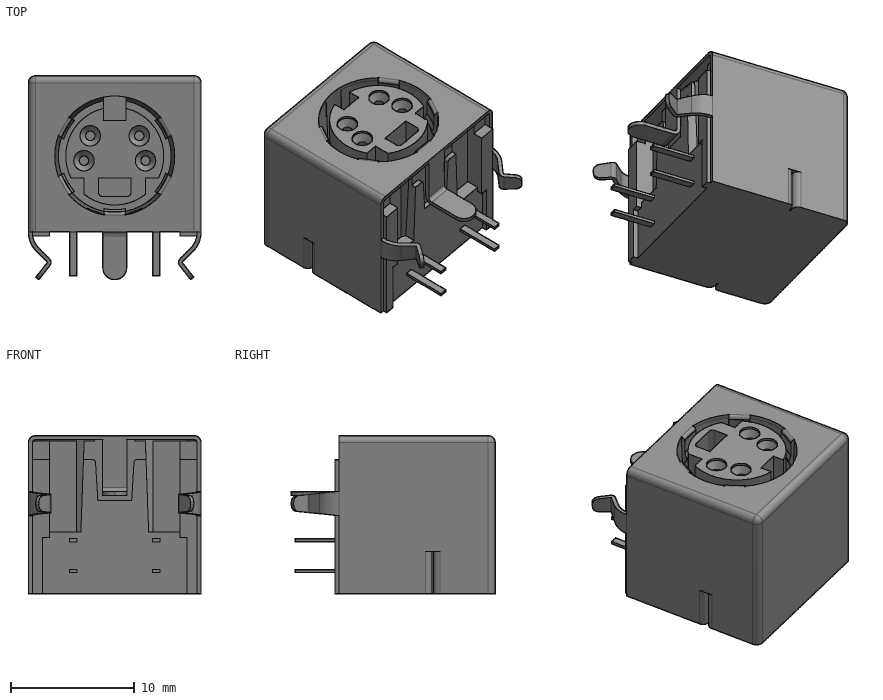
import cadquery as cq
import math


SHELL_W = 14.03
SHELL_D = 12.68
SHELL_H = 12.83
SHEET = 0.33
EDGE_R = 0.58
LEG_REACH = 16.56 - SHELL_D
INNER_X = SHELL_W / 2 - SHEET

TOP_GAP = 0.12
BODY_TOP = SHELL_H - SHEET - TOP_GAP
FRONT_Y = 0.1
RECESS_Y = 0.5
POCKET_Y = 1.16
STEP_Z = 10.88
PAD_OUT = 0.33
PAD_INNER_X = 5.28
PAD_FOOT_X = 5.86
PAD_FOOT_Z = 4.55
POCKET_FLOOR_Z = 5.02
BLOCK_TOP_X = 2.48
BLOCK_BOTTOM_X = 2.75
SLOT_FLOOR_Z = 7.58
SLOT_BOTTOM_X = 1.37
SLOT_TOP_X = 1.57
SLOT_EDGE_R = 0.25

SOCKET_Y = 6.16
OPENING_R = 4.87
BORE_FLOOR_R = 4.57
CORE_R = 3.97
BARREL_R = 5.9
SOCKET_DEPTH = 7.95
KEYWAY_W = 1.85
KEYWAY_DEPTH = 8.61
KEYWAY_INNER = 2.9
SHOULDER_X = 2.5
SHOULDER_Y = -1.79
KEY_HOLE_W = 2.62
KEY_HOLE_H = 1.5
KEY_HOLE_R = 0.33
PIN_HOLES = [(1.99, 1.64), (2.5, -0.38)]
PIN_HOLE_R = 0.38
PIN_MOUTH_R = 0.83
PIN_MOUTH_LIP = 0.2
PIN_CONE_DEPTH = 0.56

TAB_W = 1.72
TAB_ANGLES = [-150, -90, -30, 30, 150]
TAB_OUTER = 4.8
TAB_ROLL_INNER = 4.5
TAB_INNER = 4.55
TAB_BUMP = 4.35
TAB_BUMP_Z = 11.26
TAB_END_Z = 10.27

CONTACT_X = 3.36
CONTACT_W = 0.6
CONTACT_T = 0.25
CONTACT_TIP_Y = -3.56
CONTACT_ZS = [1.84, 4.34]
TONGUE_W = 1.95
TONGUE_Z = 7.97
TONGUE_TIP_FLAT = 0.002
ARM_Z = 7.32
ARM_ROOT_W = 1.99
ARM_TIP_W = 1.2
ARM_BEND_R = 2.05
ARM_RUN = 1.2
ARM_ANGLE = 45.0
ARM_ELBOW_R = 0.25
ARM_ELBOW_TURN = 83.0
ARM_TIP_R = 0.56
SEAM_Y = 7.6
SEAM_R = 0.53
SEAM_GAP = 0.1
SEAM_H = 3.41
SEAM_DEPTH = 0.83


def box(x0, x1, y0, y1, z0, z1):
    return cq.Workplane("XY").box(x1 - x0, y1 - y0, z1 - z0, centered=False).translate((x0, y0, z0))


def both_sides(shape):
    return shape.union(shape.mirror("YZ"))


def socket_plane(z):
    return cq.Workplane("XY", origin=(0, SOCKET_Y, z))


def make_shell():
    outer = box(-SHELL_W / 2, SHELL_W / 2, 0, SHELL_D, 0, SHELL_H)
    outer = outer.edges("(|Z and >Y) or (>Z and (not <Y))").fillet(EDGE_R)
    inner = box(-INNER_X, INNER_X, 0, SHELL_D - SHEET, 0, SHELL_H - SHEET)
    inner = inner.edges("(|Z and >Y) or (>Z and (not <Y))").fillet(EDGE_R - SHEET)
    return outer.cut(inner).cut(socket_plane(0).circle(OPENING_R).extrude(SHELL_H))


def center_block():
    """Middle of the insulator front, widening toward the pocket floor."""
    half = [(0, POCKET_FLOOR_Z), (BLOCK_BOTTOM_X, POCKET_FLOOR_Z), (BLOCK_TOP_X, BODY_TOP), (0, BODY_TOP)]
    block = cq.Workplane("XZ").polyline(half).close().extrude(-POCKET_Y)
    return both_sides(block)


def tongue_slot():
    """Tapered opening in the front face behind the ground tongue."""
    outline = [
        (-SLOT_BOTTOM_X, SLOT_FLOOR_Z),
        (SLOT_BOTTOM_X, SLOT_FLOOR_Z),
        (SLOT_TOP_X, STEP_Z),
        (-SLOT_TOP_X, STEP_Z),
    ]
    return cq.Workplane("XZ").polyline(outline).close().extrude(-RECESS_Y)


def make_insulator():
    body = box(-INNER_X, INNER_X, FRONT_Y, SHELL_D - SHEET, 0, BODY_TOP)
    body = body.cut(box(-INNER_X, INNER_X, 0, RECESS_Y, STEP_Z, BODY_TOP))
    body = body.cut(tongue_slot())
    body = body.edges(
        cq.selectors.BoxSelector((-SLOT_TOP_X - 0.17, 0, STEP_Z - 0.17), (SLOT_TOP_X + 0.17, RECESS_Y, STEP_Z + 0.17))
    ).edges("|Y").fillet(SLOT_EDGE_R)

    pocket = box(-PAD_INNER_X, PAD_INNER_X, 0, POCKET_Y, POCKET_FLOOR_Z, BODY_TOP)
    pocket = pocket.cut(socket_plane(0).circle(BARREL_R).extrude(SHELL_H)).cut(center_block())
    body = body.cut(pocket)

    barrel = socket_plane(BODY_TOP).circle(BARREL_R).extrude(TOP_GAP)
    body = body.union(barrel.intersect(box(-INNER_X, INNER_X, RECESS_Y, SHELL_D, 0, SHELL_H)))

    pad = box(PAD_INNER_X, INNER_X, -PAD_OUT, RECESS_Y, PAD_FOOT_Z, STEP_Z)
    foot = box(PAD_FOOT_X, INNER_X, -PAD_OUT, RECESS_Y, 0, PAD_FOOT_Z)
    return body.union(both_sides(pad.union(foot)))


def make_bore():
    """Space around the core, narrowing slightly toward its floor."""
    floor_z = SHELL_H - SOCKET_DEPTH
    top_z = SHELL_H - SHEET
    outline = [(0, floor_z), (BORE_FLOOR_R, floor_z), (OPENING_R, top_z), (0, top_z)]
    cone = cq.Workplane("XZ").polyline(outline).close().revolve(360, (0, 0), (0, 1))
    return cone.translate((0, SOCKET_Y, 0))


def make_core():
    floor_z = SHELL_H - SOCKET_DEPTH
    core = socket_plane(floor_z).circle(CORE_R).extrude(SOCKET_DEPTH)
    shoulder = box(
        SHOULDER_X, CORE_R, SOCKET_Y - CORE_R, SOCKET_Y + SHOULDER_Y, floor_z, SHELL_H
    )
    key_hole = socket_plane(floor_z).center(0, SHOULDER_Y - KEY_HOLE_H / 2)
    key_hole = key_hole.rect(KEY_HOLE_W, KEY_HOLE_H).extrude(SOCKET_DEPTH)
    key_hole = key_hole.edges("|Z and <Y").fillet(KEY_HOLE_R)
    core = core.cut(both_sides(shoulder)).cut(key_hole)
    for x, y in PIN_HOLES:
        core = core.cut(both_sides(pin_hole().translate((x, SOCKET_Y + y, 0))))
    return core


def pin_hole():
    lip_z = SHELL_H - PIN_MOUTH_LIP
    throat_z = lip_z - PIN_CONE_DEPTH
    floor_z = SHELL_H - SOCKET_DEPTH
    outline = [
        (0, floor_z),
        (PIN_HOLE_R, floor_z),
        (PIN_HOLE_R, throat_z),
        (PIN_MOUTH_R, lip_z),
        (PIN_MOUTH_R, SHELL_H),
        (0, SHELL_H),
    ]
    return cq.Workplane("XZ").polyline(outline).close().revolve(360, (0, 0), (0, 1))


def make_keyway():
    """Slot for the plug key, reaching from the core to the wall of the opening."""
    floor_z = SHELL_H - KEYWAY_DEPTH
    slot = box(
        -KEYWAY_W / 2, KEYWAY_W / 2, SOCKET_Y + KEYWAY_INNER, SOCKET_Y + OPENING_R, floor_z, SHELL_H
    )
    return slot.intersect(socket_plane(0).circle(OPENING_R).extrude(SHELL_H))


def spring_tab(angle):
    """Strip rolled over the opening edge, hanging down the bore to a contact bump."""
    roll_r = TAB_OUTER - TAB_ROLL_INNER
    back = OPENING_R + SHEET / 2
    roll_z = SHELL_H - roll_r
    roll = (
        cq.Workplane("XZ")
        .moveTo(back, SHELL_H)
        .lineTo(TAB_OUTER, SHELL_H)
        .radiusArc((TAB_ROLL_INNER, roll_z), -roll_r)
        .lineTo(back, roll_z)
        .close()
        .extrude(TAB_W / 2, both=True)
    )
    wall_outline = [
        (back, roll_z),
        (TAB_INNER, roll_z),
        (TAB_INNER, TAB_BUMP_Z),
        (TAB_BUMP, (TAB_BUMP_Z + TAB_END_Z) / 2),
        (TAB_INNER, TAB_END_Z),
        (back, TAB_END_Z),
    ]
    wall = cq.Workplane("XZ").polyline(wall_outline).close().revolve(360, (0, 0), (0, 1))
    wall = wall.intersect(box(0, back, -TAB_W / 2, TAB_W / 2, 0, SHELL_H))
    tab = roll.union(wall)
    return tab.rotate((0, 0, 0), (0, 0, 1), angle).translate((0, SOCKET_Y, 0))


def make_contacts():
    contacts = cq.Workplane("XY")
    for z in CONTACT_ZS:
        for x in (-CONTACT_X, CONTACT_X):
            contacts = contacts.union(
                box(
                    x - CONTACT_W / 2,
                    x + CONTACT_W / 2,
                    CONTACT_TIP_Y,
                    FRONT_Y + SHEET,
                    z - CONTACT_T / 2,
                    z + CONTACT_T / 2,
                )
            )
    return contacts


def make_tongue():
    """Strip hanging from the shell top and bent forward into a round-ended tongue."""
    strip = (
        cq.Workplane("YZ")
        .moveTo(0, SHELL_H - SHEET)
        .lineTo(0, TONGUE_Z + 2 * SHEET)
        .radiusArc((-SHEET, TONGUE_Z + SHEET), SHEET)
        .lineTo(-LEG_REACH, TONGUE_Z + SHEET)
        .lineTo(-LEG_REACH, TONGUE_Z)
        .lineTo(-SHEET, TONGUE_Z)
        .radiusArc((SHEET, TONGUE_Z + 2 * SHEET), -2 * SHEET)
        .lineTo(SHEET, SHELL_H - SHEET)
        .close()
        .extrude(TONGUE_W / 2, both=True)
    )
    return strip.edges("|Z and <Y").fillet(TONGUE_W / 2 - TONGUE_TIP_FLAT)


def heading_step(start, heading, length):
    return (
        start[0] + length * math.cos(math.radians(heading)),
        start[1] + length * math.sin(math.radians(heading)),
    )


def bend(start, heading, radius, turn):
    """Middle and end points of an arc that turns left (turn > 0) or right (turn < 0)."""
    side = math.copysign(90, turn)
    center = heading_step(start, heading + side, radius)
    return [heading_step(center, heading - side + part * turn, radius) for part in (0.5, 1)]


def make_arm():
    """Sprung latch arm at the -X side, tapering to a round tip."""
    down = -90
    start = (-(SHELL_W - SHEET) / 2, 0)
    bend_mid, bend_end = bend(start, down, ARM_BEND_R, ARM_ANGLE)
    inward = down + ARM_ANGLE
    elbow_start = heading_step(bend_end, inward, ARM_RUN)
    elbow_mid, elbow_end = bend(elbow_start, inward, ARM_ELBOW_R, -ARM_ELBOW_TURN)
    tail = math.radians(inward - ARM_ELBOW_TURN)
    tail_drop = elbow_end[1] + LEG_REACH - SHEET / 2 * abs(math.cos(tail))
    tail_end = heading_step(elbow_end, inward - ARM_ELBOW_TURN, tail_drop / abs(math.sin(tail)))
    path = (
        cq.Workplane("XY", origin=(0, 0, ARM_Z))
        .moveTo(*start)
        .threePointArc(bend_mid, bend_end)
        .lineTo(*elbow_start)
        .threePointArc(elbow_mid, elbow_end)
        .lineTo(*tail_end)
    )
    strip = cq.Workplane("XZ", origin=(start[0], 0, ARM_Z)).rect(SHEET, ARM_ROOT_W).sweep(path)
    taper = [
        (0, -ARM_ROOT_W / 2),
        (-LEG_REACH, -ARM_TIP_W / 2),
        (-LEG_REACH, ARM_TIP_W / 2),
        (0, ARM_ROOT_W / 2),
    ]
    outline = cq.Workplane("YZ", origin=(-SHELL_W / 2, 0, ARM_Z)).polyline(taper).close().extrude(SHELL_W / 2)
    arm = strip.intersect(outline)
    return arm.faces("<Y").edges("not |Z").fillet(ARM_TIP_R)


def make_seam():
    """Groove at the -X side where two rolled sheet edges face each other."""
    half_gap = SEAM_GAP / 2
    face_x = -SHELL_W / 2
    return (
        cq.Workplane("XY")
        .moveTo(face_x, SEAM_Y - half_gap - SEAM_R)
        .radiusArc((face_x + SEAM_R, SEAM_Y - half_gap), SEAM_R)
        .lineTo(face_x + SEAM_DEPTH, SEAM_Y - half_gap)
        .lineTo(face_x + SEAM_DEPTH, SEAM_Y + half_gap)
        .lineTo(face_x + SEAM_R, SEAM_Y + half_gap)
        .radiusArc((face_x, SEAM_Y + half_gap + SEAM_R), SEAM_R)
        .close()
        .extrude(SEAM_H)
    )


result = make_shell().union(make_insulator().cut(make_bore())).union(make_core())
for tab_angle in TAB_ANGLES:
    result = result.union(spring_tab(tab_angle))
result = (
    result.cut(make_keyway())
    .union(make_contacts())
    .union(make_tongue())
    .union(both_sides(make_arm()))
    .cut(both_sides(make_seam()))
)